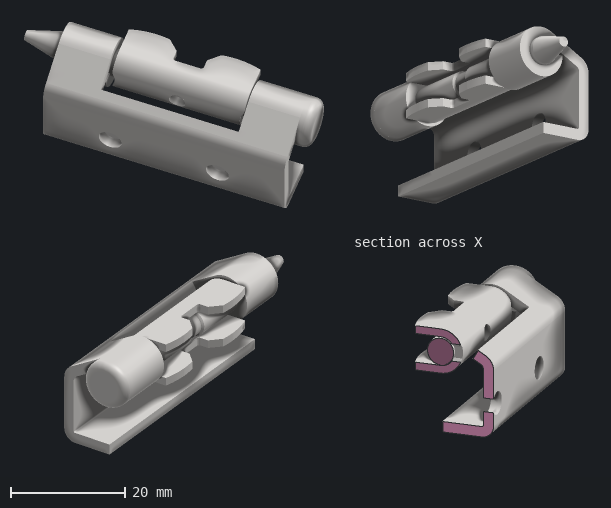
import cadquery as cq
import math


PIN_LENGTH = 54.4
PIN_RADIUS = 2.5
TIP_RADIUS = 0.9
TIP_LENGTH = 5.95
HEAD_LENGTH = 2.4
HEAD_ROUNDING = 1.5
GROOVE_RADIUS = 2.1
GROOVE_START = 26.95
GROOVE_END = 30.85

SHEET = 2.0
KNUCKLE_RADIUS = PIN_RADIUS + SHEET
HOUSING_LENGTH = 45.05
HOUSING_END = PIN_LENGTH - HEAD_LENGTH
HOUSING_START = HOUSING_END - HOUSING_LENGTH
MIDDLE_X = HOUSING_START + HOUSING_LENGTH / 2
WALL_Y = -10.0
FLOOR_Z = KNUCKLE_RADIUS - 19.35
FLANGE_END_Y = -0.45
SLOPE_ANGLE = math.radians(30)
UPPER_BEND_RADIUS = 3.0
LOWER_BEND_RADIUS = 2.3
WINDOW_LENGTH = 25.75
WINDOW_EDGE_Z = 1.15
MOUNT_HOLE_DIAMETER = 4.25
MOUNT_HOLE_SPACING = 20.0
MOUNT_HOLE_Z = -8.8

LEAF_LENGTH = 24.6
LEAF_CENTRE_X = 29.75
LEAF_START = LEAF_CENTRE_X - LEAF_LENGTH / 2
LEAF_END = LEAF_START + LEAF_LENGTH
LEAF_AXIS_Z = 0.1
LEAF_BORE_RADIUS = PIN_RADIUS + LEAF_AXIS_Z
LEAF_SHEET = 1.5
LEAF_RADIUS = LEAF_BORE_RADIUS + LEAF_SHEET
LEAF_TIP_Y = WALL_Y + 15.4
LEAF_SIDE_Y = 4.7
LEAF_CREST_INSET = 4.7
LEAF_SHOULDER_INSET = 7.5
LEAF_SHOULDER_Y = 5.15
GAP_HALF_WIDTH = 2.85
GAP_SHOULDER_Y = 3.25
GAP_FLOOR_Y = 1.25
GAP_CORNER_RADIUS = 0.5
GREASE_HOLE_DIAMETER = 3.0
RELIEF_DEPTH = 0.6
RELIEF_HALF_OPENING = 2.0
RELIEF_HALF_FLOOR = 1.05


def cylinder_x(start, end, radius, centre_z=0):
    """Solid cylinder running along X."""
    return cq.Workplane("YZ", origin=(start, 0, centre_z)).circle(radius).extrude(end - start)


def block(start, end):
    """Axis-aligned box between two opposite corners."""
    size = [b - a for a, b in zip(start, end)]
    return cq.Workplane("XY").box(*size, centered=False).translate(start)


def make_pin():
    neck = PIN_RADIUS - GROOVE_RADIUS
    head_x = PIN_LENGTH - HEAD_LENGTH
    profile = (
        cq.Workplane("XY")
        .lineTo(0, TIP_RADIUS)
        .lineTo(TIP_LENGTH, PIN_RADIUS)
        .lineTo(GROOVE_START, PIN_RADIUS)
        .lineTo(GROOVE_START + neck, GROOVE_RADIUS)
        .lineTo(GROOVE_END - neck, GROOVE_RADIUS)
        .lineTo(GROOVE_END, PIN_RADIUS)
        .lineTo(head_x, PIN_RADIUS)
        .lineTo(head_x, KNUCKLE_RADIUS)
        .lineTo(PIN_LENGTH, KNUCKLE_RADIUS)
        .lineTo(PIN_LENGTH, 0)
        .close()
    )
    pin = profile.revolve(360, (0, 0, 0), (1, 0, 0))
    return pin.faces(">X").edges().fillet(HEAD_ROUNDING)


def on_slope(offset, y):
    """Point at a given Y on the slope plane lying at an offset from the pin axis."""
    return y, (offset + y * math.sin(SLOPE_ANGLE)) / math.cos(SLOPE_ANGLE)


def slope_tangent(radius):
    """Point where the slope leaves a circle around the pin axis."""
    return -radius * math.sin(SLOPE_ANGLE), radius * math.cos(SLOPE_ANGLE)


def make_housing():
    inner_wall_y = WALL_Y + SHEET
    sheet = (
        cq.Workplane("YZ", origin=(HOUSING_START, 0, 0))
        .moveTo(*slope_tangent(KNUCKLE_RADIUS))
        .lineTo(*on_slope(KNUCKLE_RADIUS, WALL_Y))
        .lineTo(WALL_Y, FLOOR_Z)
        .lineTo(FLANGE_END_Y, FLOOR_Z)
        .lineTo(FLANGE_END_Y, FLOOR_Z + SHEET)
        .lineTo(inner_wall_y, FLOOR_Z + SHEET)
        .lineTo(*on_slope(PIN_RADIUS, inner_wall_y))
        .lineTo(*slope_tangent(PIN_RADIUS))
        .threePointArc((0, -PIN_RADIUS), (-PIN_RADIUS, 0))
        .lineTo(-KNUCKLE_RADIUS, 0)
        .threePointArc((0, -KNUCKLE_RADIUS), slope_tangent(KNUCKLE_RADIUS))
        .close()
        .extrude(HOUSING_LENGTH)
    )
    bends = (
        (on_slope(KNUCKLE_RADIUS, WALL_Y), UPPER_BEND_RADIUS),
        (on_slope(PIN_RADIUS, inner_wall_y), UPPER_BEND_RADIUS - SHEET),
        ((WALL_Y, FLOOR_Z), LOWER_BEND_RADIUS),
        ((inner_wall_y, FLOOR_Z + SHEET), LOWER_BEND_RADIUS - SHEET),
    )
    for (y, z), radius in bends:
        corner = cq.selectors.NearestToPointSelector((MIDDLE_X, y, z))
        sheet = sheet.edges("|X").edges(corner).fillet(radius)
    return sheet.cut(make_window()).cut(make_mount_holes())


def make_window():
    """Cutter that opens the knuckle for the leaf, ending square to the slope."""
    edge_y = (WINDOW_EDGE_Z * math.cos(SLOPE_ANGLE) - KNUCKLE_RADIUS) / math.sin(SLOPE_ANGLE)
    reach = 4 * KNUCKLE_RADIUS
    plane = cq.Plane(
        origin=(MIDDLE_X - WINDOW_LENGTH / 2, edge_y, WINDOW_EDGE_Z),
        xDir=(0, math.cos(SLOPE_ANGLE), math.sin(SLOPE_ANGLE)),
        normal=(1, 0, 0),
    )
    return (
        cq.Workplane(plane)
        .center(reach / 2, 0)
        .rect(reach, reach)
        .extrude(WINDOW_LENGTH)
    )


def make_mount_holes():
    return (
        cq.Workplane("XZ", origin=(MIDDLE_X, WALL_Y + SHEET, MOUNT_HOLE_Z))
        .rarray(MOUNT_HOLE_SPACING, 0.55, 2, 1)
        .circle(MOUNT_HOLE_DIAMETER / 2)
        .extrude(SHEET)
    )


def u_shape(radius):
    """Half-round bar with flat sides that reach the leaf tips."""
    sides = block(
        (LEAF_START, 0, LEAF_AXIS_Z - radius), (LEAF_END, LEAF_TIP_Y, LEAF_AXIS_Z + radius)
    )
    return cylinder_x(LEAF_START, LEAF_END, radius, LEAF_AXIS_Z).union(sides)


def make_leaf():
    leaf = u_shape(LEAF_RADIUS).cut(u_shape(LEAF_BORE_RADIUS))
    leaf = leaf.intersect(make_leaf_outline()).cut(make_grease_hole())
    for end_x, inward in ((LEAF_START, 1), (LEAF_END, -1)):
        leaf = leaf.cut(make_relief(end_x, inward))
    return leaf


def make_leaf_outline():
    """Prism with the plan shape of the leaf: two rounded tabs and a gap between them."""
    crest_x = LEAF_START + LEAF_CREST_INSET
    shoulder_x = LEAF_START + LEAF_SHOULDER_INSET
    gap_left = LEAF_CENTRE_X - GAP_HALF_WIDTH
    gap_right = LEAF_CENTRE_X + GAP_HALF_WIDTH
    prism = (
        cq.Workplane("XY", origin=(0, 0, LEAF_AXIS_Z - LEAF_RADIUS))
        .moveTo(LEAF_START, -LEAF_RADIUS)
        .lineTo(LEAF_START, LEAF_SIDE_Y)
        .threePointArc((crest_x, LEAF_TIP_Y), (shoulder_x, LEAF_SHOULDER_Y))
        .lineTo(gap_left, GAP_SHOULDER_Y)
        .lineTo(gap_left, GAP_FLOOR_Y)
        .lineTo(gap_right, GAP_FLOOR_Y)
        .lineTo(gap_right, GAP_SHOULDER_Y)
        .lineTo(2 * LEAF_CENTRE_X - shoulder_x, LEAF_SHOULDER_Y)
        .threePointArc((2 * LEAF_CENTRE_X - crest_x, LEAF_TIP_Y), (LEAF_END, LEAF_SIDE_Y))
        .lineTo(LEAF_END, -LEAF_RADIUS)
        .close()
        .extrude(2 * LEAF_RADIUS)
    )
    for x in (gap_left, gap_right):
        corner = cq.selectors.NearestToPointSelector((x, GAP_FLOOR_Y, LEAF_AXIS_Z))
        prism = prism.edges("|Z").edges(corner).fillet(GAP_CORNER_RADIUS)
    return prism


def make_grease_hole():
    return (
        cq.Workplane("XZ", origin=(LEAF_CENTRE_X, 0, LEAF_AXIS_Z))
        .circle(GREASE_HOLE_DIAMETER / 2)
        .extrude(LEAF_RADIUS)
    )


def make_relief(end_x, inward):
    """Trapezoidal notch in one end of the round side of the leaf."""
    return (
        cq.Workplane("XZ", origin=(end_x, 0, LEAF_AXIS_Z))
        .moveTo(0, RELIEF_HALF_OPENING)
        .lineTo(inward * RELIEF_DEPTH, RELIEF_HALF_FLOOR)
        .lineTo(inward * RELIEF_DEPTH, -RELIEF_HALF_FLOOR)
        .lineTo(0, -RELIEF_HALF_OPENING)
        .close()
        .extrude(LEAF_RADIUS)
    )


housing = make_housing()
leaf = make_leaf()
pin = make_pin()
result = cq.Compound.makeCompound([housing.val(), leaf.val(), pin.val()])